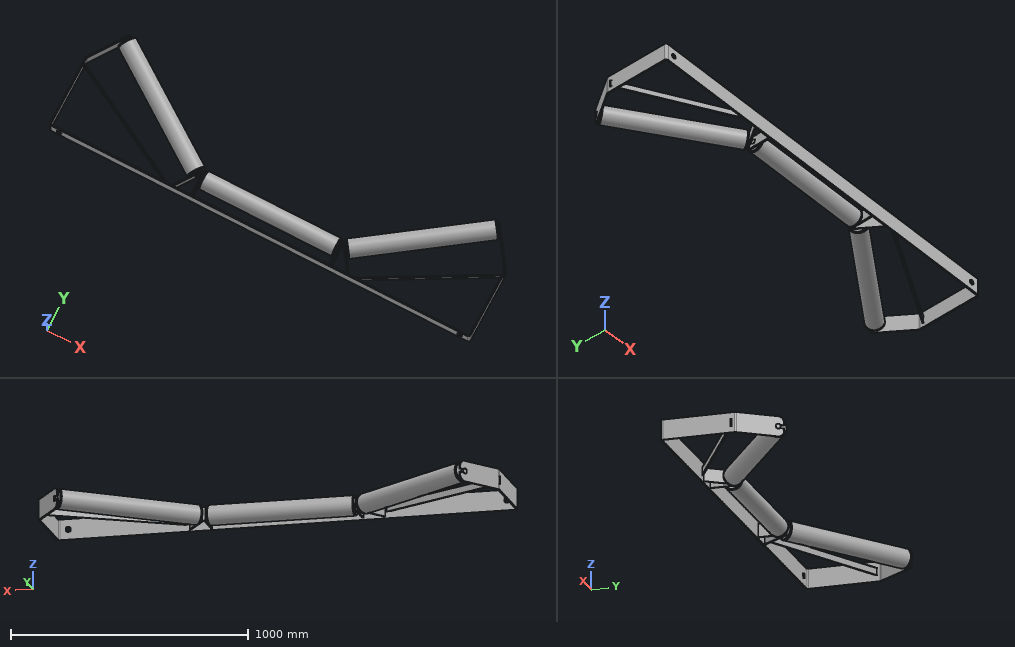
import cadquery as cq
import math

LENGTH = 2000.0
BAR_HEIGHT = 90.0
BAR_THICKNESS = 5.0
BEND_INNER_RADIUS = 5.0
BEND_OUTER_RADIUS = BEND_INNER_RADIUS + BAR_THICKNESS
WALL_HEIGHT = 332.0
ARM_LENGTH = 215.0
ARM_TIP_RADIUS = 25.0
MOUNT_HOLE_DIAMETER = 22.0
MOUNT_HOLE_INSET = 48.0

TROUGH_ANGLE = 35.0
ROLLER_DIAMETER = 88.0
ROLLER_LENGTH = 630.0
CAP_DIAMETER = 80.0
CAP_LENGTH = 5.0
CAP_CLEARANCE = 5.0
SHAFT_DIAMETER = 22.0
SHAFT_SLOT_WIDTH = 15.0
WING_AXIS_ON_ARM = 190.0
CENTRE_AXIS_Y = 100.0
ROLLER_DROP = 7.0

BRACKET_TOP_Y = 128.0
BRACKET_BAR_HEIGHT = 60.0
STRUT_WALL_Y = 315.0
STRUT_BASE_X = 438.0
STRUT_HEIGHT = 32.0
STRUT_THICKNESS = 5.0

HALF_LENGTH = LENGTH / 2
HALF_HEIGHT = BAR_HEIGHT / 2
COS = math.cos(math.radians(TROUGH_ANGLE))
SIN = math.sin(math.radians(TROUGH_ANGLE))

END_ALLOWANCE = CAP_LENGTH + CAP_CLEARANCE + BAR_THICKNESS
SHAFT_LENGTH = ROLLER_LENGTH + 2 * END_ALLOWANCE
WING_TILT = math.degrees(math.asin(ROLLER_DROP / SHAFT_LENGTH))


def wing_point(across, along):
    """XY point on the left wing: `across` the trough from the arm's outer face, `along` the arm."""
    return (
        -HALF_LENGTH + across * COS + along * SIN,
        WALL_HEIGHT - across * SIN + along * COS,
    )


def place_on_wing(body):
    """Move a body from wing coordinates (across, along, Z) to the left wing."""
    turned = body.rotate((0, 0, 0), (0, 0, 1), -TROUGH_ANGLE)
    return turned.translate((-HALF_LENGTH, WALL_HEIGHT, 0))


def mirrored(body):
    return body.mirror("YZ")


def rod(diameter, start, length):
    """Round bar along +X."""
    return cq.Workplane("YZ", origin=(start, 0, 0)).circle(diameter / 2).extrude(length)


def level_roller():
    """Roller along +X with its shaft starting at the origin."""
    capped_length = ROLLER_LENGTH + 2 * CAP_LENGTH
    shell = rod(ROLLER_DIAMETER, END_ALLOWANCE, ROLLER_LENGTH)
    caps = rod(CAP_DIAMETER, END_ALLOWANCE - CAP_LENGTH, capped_length)
    return shell.union(caps).union(rod(SHAFT_DIAMETER, 0, SHAFT_LENGTH))


def place_as_wing(body):
    """Tilt a level body so that its inner end drops, then set it on the left wing."""
    tilted = body.rotate((0, 0, 0), (0, 1, 0), WING_TILT)
    return place_on_wing(tilted.translate((0, WING_AXIS_ON_ARM, 0)))


def place_as_centre(body):
    return body.translate((-SHAFT_LENGTH / 2, CENTRE_AXIS_Y, -ROLLER_DROP))


def shaft_hole_cutter():
    """Shaft lengthened at both ends, so that it passes fully through both support plates."""
    return rod(SHAFT_DIAMETER, -BAR_THICKNESS, SHAFT_LENGTH + 2 * BAR_THICKNESS)


def strut():
    """Left flat strut: its upper end passes through the wall, its lower end rests on the base."""
    slope = math.atan2(STRUT_WALL_Y - BAR_THICKNESS, HALF_LENGTH - STRUT_BASE_X)
    half_cut_wall = STRUT_THICKNESS / 2 / math.cos(slope)
    half_cut_base = STRUT_THICKNESS / 2 / math.sin(slope)
    outline = [
        (-HALF_LENGTH, STRUT_WALL_Y - half_cut_wall),
        (-STRUT_BASE_X - half_cut_base, BAR_THICKNESS),
        (-STRUT_BASE_X + half_cut_base, BAR_THICKNESS),
        (-HALF_LENGTH, STRUT_WALL_Y + half_cut_wall),
    ]
    return cq.Workplane("XY").polyline(outline).close().extrude(STRUT_HEIGHT / 2, both=True)


def bracket():
    """Left inner bracket: an upright leg and a leaning leg joined at the top."""
    inner_x = -SHAFT_LENGTH / 2 + BAR_THICKNESS
    outer_x = -SHAFT_LENGTH / 2
    link_y = BRACKET_TOP_Y - BAR_THICKNESS

    def leaning_x(across, y):
        along = (y - WALL_HEIGHT + across * SIN) / COS
        return wing_point(across, along)[0]

    near = SHAFT_LENGTH - BAR_THICKNESS
    far = SHAFT_LENGTH
    outline = [
        (inner_x, BAR_THICKNESS),
        (inner_x, BRACKET_TOP_Y),
        (leaning_x(near, BRACKET_TOP_Y), BRACKET_TOP_Y),
        (leaning_x(near, BAR_THICKNESS), BAR_THICKNESS),
        (leaning_x(far, BAR_THICKNESS), BAR_THICKNESS),
        (leaning_x(far, link_y), link_y),
        (outer_x, link_y),
        (outer_x, BAR_THICKNESS),
    ]
    body = cq.Workplane("XY", origin=(0, 0, -ROLLER_DROP)).polyline(outline).close()
    body = body.extrude(BRACKET_BAR_HEIGHT / 2, both=True)
    body = body.cut(place_as_wing(shaft_hole_cutter()))
    return body.cut(place_as_centre(shaft_hole_cutter()))


def bent_bar():
    """Bar of constant thickness with rounded bends, before any openings."""
    wall_x = HALF_LENGTH - BAR_THICKNESS
    inner_bend_y = WALL_HEIGHT - BAR_THICKNESS * math.tan(math.radians(TROUGH_ANGLE / 2))
    tip_outer = wing_point(0, ARM_LENGTH)
    tip_inner = wing_point(BAR_THICKNESS, ARM_LENGTH)
    left_outer = [tip_outer, (-HALF_LENGTH, WALL_HEIGHT), (-HALF_LENGTH, 0)]
    left_inner = [(-wall_x, BAR_THICKNESS), (-wall_x, inner_bend_y), tip_inner]
    left_side = left_inner + left_outer
    right_side = [(-x, y) for x, y in reversed(left_side)]
    bar = cq.Workplane("XY").polyline(left_side + right_side).close()
    bar = bar.extrude(HALF_HEIGHT, both=True)

    for side in (-1, 1):
        for x, y, radius in (
            (HALF_LENGTH, 0, BEND_OUTER_RADIUS),
            (HALF_LENGTH, WALL_HEIGHT, BEND_OUTER_RADIUS),
            (wall_x, BAR_THICKNESS, BEND_INNER_RADIUS),
            (wall_x, inner_bend_y, BEND_INNER_RADIUS),
        ):
            bend = cq.NearestToPointSelector((side * x, y, 0))
            bar = bar.edges("|Z").edges(bend).fillet(radius)

        tip_x, tip_y = wing_point(BAR_THICKNESS / 2, ARM_LENGTH)
        for z in (-HALF_HEIGHT, HALF_HEIGHT):
            tip_corner = cq.NearestToPointSelector((-side * tip_x, tip_y, z))
            bar = bar.edges(tip_corner).fillet(ARM_TIP_RADIUS)
    return bar


def frame():
    body = bent_bar()
    mount_x = HALF_LENGTH - MOUNT_HOLE_INSET
    mount_holes = (
        cq.Workplane("XZ")
        .pushPoints([(-mount_x, 0), (mount_x, 0)])
        .circle(MOUNT_HOLE_DIAMETER / 2)
        .extrude(-BAR_THICKNESS)
    )
    body = body.cut(mount_holes)

    slot_depth = ARM_LENGTH - WING_AXIS_ON_ARM
    slot = cq.Workplane("XY").box(2 * BAR_THICKNESS, slot_depth, SHAFT_SLOT_WIDTH)
    slot = place_on_wing(slot.translate((0, WING_AXIS_ON_ARM + slot_depth / 2, 0)))

    for opening in (slot, place_as_wing(shaft_hole_cutter()), strut()):
        body = body.cut(opening).cut(mirrored(opening))
    return body


def with_mirror_copy(left_body):
    return [left_body.val(), mirrored(left_body).val()]


frame_body = frame()
centre_roller = place_as_centre(level_roller())
wing_rollers = with_mirror_copy(place_as_wing(level_roller()))
brackets = with_mirror_copy(bracket())
struts = with_mirror_copy(strut())

result = cq.Compound.makeCompound(
    [frame_body.val(), centre_roller.val(), *wing_rollers, *brackets, *struts]
)